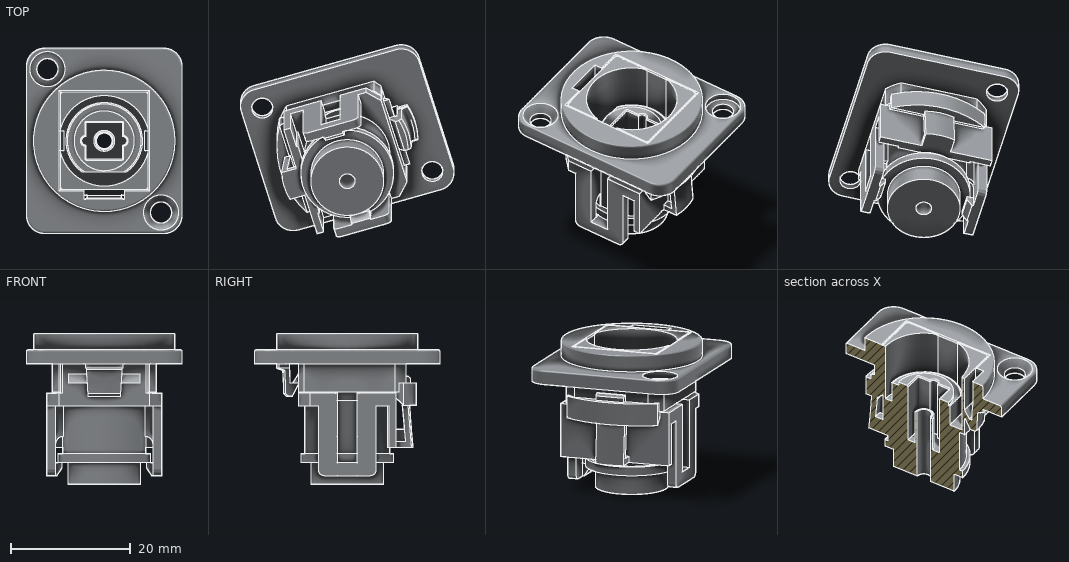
import cadquery as cq


PLATE_X, PLATE_Y = 26.0, 31
PLATE_THICK = 2.4
PLATE_CORNER_RADIUS = 3.1
PLATE_EDGE_FILLET = 0.35
DISC_RADIUS = 11.8
DISC_TOP = 5.1
DISC_EDGE_FILLET = 0.25
SCREW_X, SCREW_Y = 9.5, 11.97
SCREW_DIAMETER = 3.5
SCREW_HEAD_DIAMETER = 5.85
SCREW_HEAD_DEPTH = (SCREW_HEAD_DIAMETER - SCREW_DIAMETER) / 2

INSERT_X = 7.32
INSERT_Y = 8.15
INSERT_CORNER = 0.35
SEAM_WIDTH = 0.22
FRAME_X = 8.7
FRAME_BACK = 9.83
FRAME_FRONT_CORNER_X = 7.55
FRAME_FRONT_CORNER_Y = 7.25
FRAME_BOTTOM = -4.68
RELEASE_SLOT_X = 3.38
RELEASE_SLOT_FRONT = 9.73

FLANGE_X = 9.65
FLANGE_TOP = -4.87
FLANGE_BOTTOM = -7.05
FLANGE_CORNER_X, FLANGE_CORNER_Y = 2.1, 1.95

BARREL_RADIUS = 7.13
COLLAR_RADIUS = 7.75
COLLAR_TOP, COLLAR_BOTTOM = -14.97, -16.45
TAIL_RADIUS = 12.15 / 2
TAIL_BOTTOM = -20.1

BORE_RADIUS = 7.55
BORE_FLOOR = -6.15
ISLAND_RADIUS = 6.4
ISLAND_FLAT_Y = -5.25
ISLAND_TOP = -2.1
ISLAND_TOP_RADIUS = 12.3 / 2
ISLAND_CHAMFER_HEIGHT = 0.12
BOSS_RADIUS = 10.0 / 2
BOSS_TOP = -1.43
SOCKET_SIDE = 6.15
SOCKET_CORNER_RADIUS = 0.15
SOCKET_CHAMFER = 0.2
SOCKET_FLOOR = -13.02
KEY_RADIUS = 0.75
KEY_OFFSET = 3.05
FERRULE_DIAMETER = 3.5
FERRULE_BORE = 2.6
FERRULE_TOP = -6.2
FERRULE_CHAMFER = 0.25

LEG_INNER_X = 8.12
LEG_HALF_WIDTH = 4.8
LEG_BOTTOM = -18.65
LEG_CORNER_RADIUS = 1.0
LEG_SLOT_HALF_WIDTH = 1.65
LEG_SLOT_INNER_X = 6.75
WEB_HALF_WIDTH = 2.2
WEB_BOTTOM = -13.42
WEB_INNER_X = 5.58
WEB_ARC_RADIUS = LEG_INNER_X - LEG_SLOT_INNER_X
HOOK_INNER_X = 7.05
HOOK_TIP_X = 7.9
HOOK_SLOPE_TOP = -17.33

BACK_PLATE_THICK = 1.15
BACK_PLATE_BOTTOM = -13.98
BACK_PAD_X, BACK_PAD_THICK = 6.2, 0.28
LEVER_X = 2.48
GUSSET_X = LEVER_X / 2
LEVER_THICK = 1.27
LEVER_TOP_RADIUS, LEVER_BOTTOM_RADIUS = 10.45, 11.0
LEVER_FOOT_TOP = -12.93
GUSSET_TOP = -10.88
LATCH_HEAD_TOP, LATCH_HEAD_BOTTOM = -3.15, -6.9
LATCH_HEAD_X = 8.05
LATCH_HEAD_INNER_Y, LATCH_HEAD_OUTER_Y = 9.4, 11.55
LATCH_CATCH_INNER_Y = 8.6
LATCH_SLOPE_TOP = -5.7
LUG_TOP = -2.0
LUG_OUTER_Y = 10.57
LUG_CHAMFER = 0.4

CATCH_X = 5.98
CATCH_DEPTH = 0.95
CATCH_TOP, CATCH_BOTTOM = -1.65, -3.15
CLIP_INNER_Y = 9.65
CLIP_HOOK_INNER_Y = 9.52
CLIP_TIP_INNER_Y = 9.18
CLIP_NOSE_BOTTOM = -3.45
CLIP_BOTTOM = -5.42
CLIP_TOP_HALF_WIDTH, CLIP_SHOULDER_HALF_WIDTH, CLIP_TIP_HALF_WIDTH = 3.13, 3.0, 2.7
CLIP_LIP_BOTTOM = -0.7
CLIP_NECK_START = (11.3, -0.93)
CLIP_NECK_MIDDLE = (10.95, -1.05)
CLIP_NECK_END = (10.8, -1.43)
CLIP_TIP_CHAMFER_START = (10.65, -4.93)
CLIP_TIP_RADIUS = 10.17


def box(x0, x1, y0, y1, z0, z1):
    """Box given by its limits along each axis."""
    return cq.Workplane("XY").box(x1 - x0, y1 - y0, z1 - z0, centered=False).translate((x0, y0, z0))


def cylinder(radius, z0, z1, x=0, y=0):
    """Upright cylinder between two heights."""
    return cq.Workplane("XY", origin=(x, y, z0)).circle(radius).extrude(z1 - z0)


def side_profile(points, half_width):
    """Extrude a (y, z) outline symmetrically along X."""
    return cq.Workplane("YZ").polyline(points).close().extrude(half_width, both=True)


def front_profile(points, half_width):
    """Extrude an (x, z) outline symmetrically along Y."""
    return cq.Workplane("XZ").polyline(points).close().extrude(half_width, both=True)


def revolve_profile(points):
    """Revolve a (radius, z) outline about the socket axis."""
    return cq.Workplane("XZ").polyline(points).close().revolve(360, (0, 0), (0, 1))


def both_sides(body):
    """The body together with its mirror image across X = 0."""
    return body.union(body.mirror("YZ"))


def make_plate():
    plate = (
        cq.Workplane("XY")
        .rect(PLATE_X, PLATE_Y)
        .extrude(PLATE_THICK)
        .edges("|Z")
        .fillet(PLATE_CORNER_RADIUS)
        .faces(">Z")
        .edges()
        .fillet(PLATE_EDGE_FILLET)
    )
    disc = cylinder(DISC_RADIUS, 0, DISC_TOP).faces(">Z").edges().fillet(DISC_EDGE_FILLET)
    return plate.union(disc)


def cut_screw_holes(body):
    """One counterbored and one countersunk hole at opposite corners."""
    counterbored = cq.Workplane("XY", origin=(-SCREW_X, SCREW_Y, PLATE_THICK))
    body = body.cut(counterbored.circle(SCREW_HEAD_DIAMETER / 2).extrude(-SCREW_HEAD_DEPTH))
    body = body.cut(cylinder(SCREW_DIAMETER / 2, 0, PLATE_THICK, -SCREW_X, SCREW_Y))
    countersunk = cq.Workplane("XY", origin=(SCREW_X, -SCREW_Y, PLATE_THICK))
    cone = countersunk.circle(SCREW_HEAD_DIAMETER / 2).extrude(-SCREW_HEAD_DEPTH, taper=45)
    body = body.cut(cone)
    return body.cut(cylinder(SCREW_DIAMETER / 2, 0, PLATE_THICK, SCREW_X, -SCREW_Y))


def make_frame():
    """U-shaped wall below the plate, rounded off at the back to the disc outline."""
    outline = [
        (-INSERT_X, -INSERT_Y),
        (-FRAME_FRONT_CORNER_X, -INSERT_Y),
        (-FRAME_X, -FRAME_FRONT_CORNER_Y),
        (-FRAME_X, FRAME_BACK),
        (FRAME_X, FRAME_BACK),
        (FRAME_X, -FRAME_FRONT_CORNER_Y),
        (FRAME_FRONT_CORNER_X, -INSERT_Y),
        (INSERT_X, -INSERT_Y),
        (INSERT_X, INSERT_Y),
        (-INSERT_X, INSERT_Y),
    ]
    walls = cq.Workplane("XY").polyline(outline).close().extrude(FRAME_BOTTOM)
    return walls.intersect(cylinder(DISC_RADIUS, FRAME_BOTTOM, 0))


def make_insert():
    """Insert block with its bottom flange and the front catch."""
    block = box(-INSERT_X, INSERT_X, -INSERT_Y, INSERT_Y, FLANGE_BOTTOM, DISC_TOP)
    block = block.edges("|Z").chamfer(INSERT_CORNER)
    front_corner_x = FLANGE_X - FLANGE_CORNER_X
    front_corner_y = -INSERT_Y + FLANGE_CORNER_Y
    flange_outline = [
        (-front_corner_x, -INSERT_Y),
        (front_corner_x, -INSERT_Y),
        (FLANGE_X, front_corner_y),
        (FLANGE_X, INSERT_Y),
        (-FLANGE_X, INSERT_Y),
        (-FLANGE_X, front_corner_y),
    ]
    flange = (
        cq.Workplane("XY", origin=(0, 0, FLANGE_BOTTOM))
        .polyline(flange_outline)
        .close()
        .extrude(FLANGE_TOP - FLANGE_BOTTOM)
    )
    catch_outline = [
        (-INSERT_Y, CATCH_TOP),
        (-INSERT_Y - CATCH_DEPTH, CATCH_BOTTOM),
        (-INSERT_Y, CATCH_BOTTOM),
    ]
    catch = side_profile(catch_outline, CATCH_X)
    return block.union(flange).union(catch)


def cut_seam(body):
    """Sloped groove in the disc along the outline of the insert."""
    bottom = DISC_TOP - SEAM_WIDTH
    sloped = (
        cq.Workplane("XY", origin=(0, 0, DISC_TOP))
        .rect(2 * (INSERT_X + SEAM_WIDTH), 2 * (INSERT_Y + SEAM_WIDTH))
        .extrude(-SEAM_WIDTH, taper=45)
    )
    core = box(-INSERT_X, INSERT_X, -INSERT_Y, INSERT_Y, bottom, DISC_TOP)
    return body.cut(sloped.cut(core.edges("|Z").chamfer(INSERT_CORNER)))


def make_barrel():
    barrel = cylinder(BARREL_RADIUS, COLLAR_TOP, FLANGE_BOTTOM)
    collar = cylinder(COLLAR_RADIUS, COLLAR_BOTTOM, COLLAR_TOP)
    tail = cylinder(TAIL_RADIUS, TAIL_BOTTOM, COLLAR_BOTTOM)
    return barrel.union(collar).union(tail)


def make_legs():
    """Side legs joined to the barrel by webs, without their slots."""
    leg = box(
        LEG_INNER_X, FLANGE_X, -LEG_HALF_WIDTH, LEG_HALF_WIDTH, LEG_BOTTOM, FLANGE_BOTTOM
    )
    leg = leg.edges("|X and <Z").fillet(LEG_CORNER_RADIUS)
    web = box(
        WEB_INNER_X, LEG_INNER_X, -WEB_HALF_WIDTH, WEB_HALF_WIDTH, WEB_BOTTOM, FLANGE_BOTTOM
    )
    arch = (
        cq.Workplane("XZ")
        .center(LEG_SLOT_INNER_X, WEB_BOTTOM)
        .circle(WEB_ARC_RADIUS)
        .extrude(WEB_HALF_WIDTH, both=True)
    )
    return both_sides(leg.union(web.cut(arch)))


def cut_leg_slots(body):
    """Slots through flange, webs and legs that leave flats on the barrel."""
    width = LEG_SLOT_HALF_WIDTH
    upper = box(LEG_SLOT_INNER_X, FLANGE_X, -width, width, COLLAR_TOP, FLANGE_TOP)
    lower = box(LEG_INNER_X, FLANGE_X, -width, width, COLLAR_BOTTOM, COLLAR_TOP)
    return body.cut(both_sides(upper.union(lower)))


def make_hooks():
    outline = [
        (LEG_INNER_X, COLLAR_BOTTOM),
        (HOOK_INNER_X, COLLAR_BOTTOM),
        (HOOK_INNER_X, HOOK_SLOPE_TOP),
        (HOOK_TIP_X, LEG_BOTTOM),
        (LEG_INNER_X, LEG_BOTTOM),
    ]
    return both_sides(front_profile(outline, LEG_SLOT_HALF_WIDTH))


def make_back_plate():
    inner = INSERT_Y - BACK_PLATE_THICK
    plate = box(-FLANGE_X, FLANGE_X, inner, INSERT_Y, BACK_PLATE_BOTTOM, FLANGE_BOTTOM)
    pad = box(
        -BACK_PAD_X, BACK_PAD_X, inner - BACK_PAD_THICK, inner, BACK_PLATE_BOTTOM, FLANGE_BOTTOM
    )
    return plate.union(pad)


def make_lever():
    """Leaning lever on a foot, its outer face a cone about the socket axis."""
    outline = [
        (INSERT_Y, BACK_PLATE_BOTTOM),
        (LEVER_BOTTOM_RADIUS, BACK_PLATE_BOTTOM),
        (LEVER_TOP_RADIUS, LATCH_HEAD_BOTTOM),
        (LEVER_TOP_RADIUS - LEVER_THICK, LATCH_HEAD_BOTTOM),
        (LEVER_BOTTOM_RADIUS - LEVER_THICK, LEVER_FOOT_TOP),
        (INSERT_Y, LEVER_FOOT_TOP),
    ]
    cone = revolve_profile(
        [
            (0, BACK_PLATE_BOTTOM),
            (LEVER_BOTTOM_RADIUS, BACK_PLATE_BOTTOM),
            (LEVER_TOP_RADIUS, LATCH_HEAD_BOTTOM),
            (0, LATCH_HEAD_BOTTOM),
        ]
    )
    lever = side_profile(outline, LEVER_X).intersect(cone)
    gusset_y = LEVER_BOTTOM_RADIUS - LEVER_THICK
    gusset = box(-GUSSET_X, GUSSET_X, INSERT_Y, gusset_y, LEVER_FOOT_TOP, GUSSET_TOP)
    return lever.union(gusset)


def make_latch_head():
    """Bowed grip on top of the lever, with a sloped catch on its inner side."""
    head = (
        cq.Workplane("XY", origin=(0, 0, LATCH_HEAD_BOTTOM))
        .moveTo(-LATCH_HEAD_X, LATCH_HEAD_INNER_Y)
        .threePointArc((0, LATCH_HEAD_OUTER_Y), (LATCH_HEAD_X, LATCH_HEAD_INNER_Y))
        .close()
        .extrude(LATCH_HEAD_TOP - LATCH_HEAD_BOTTOM)
    )
    catch_outline = [
        (LATCH_HEAD_INNER_Y, LATCH_HEAD_TOP),
        (LATCH_CATCH_INNER_Y, LATCH_HEAD_TOP),
        (LATCH_CATCH_INNER_Y, FRAME_BOTTOM),
        (INSERT_Y, FRAME_BOTTOM),
        (INSERT_Y, LATCH_SLOPE_TOP),
        (LATCH_HEAD_INNER_Y, LATCH_HEAD_BOTTOM),
    ]
    return head.union(side_profile(catch_outline, LATCH_HEAD_X))


def make_lug():
    """Small stop behind the frame, just above the latch head."""
    outline = [
        (INSERT_Y, LATCH_HEAD_TOP),
        (LUG_OUTER_Y, LATCH_HEAD_TOP),
        (LUG_OUTER_Y, LUG_TOP - LUG_CHAMFER),
        (LUG_OUTER_Y - LUG_CHAMFER, LUG_TOP),
        (INSERT_Y, LUG_TOP),
    ]
    return side_profile(outline, LEVER_X)


def make_front_clip():
    """Tapered clip below the disc rim that hooks under the insert's front catch."""
    outer = (
        cq.Workplane("XZ")
        .lineTo(DISC_RADIUS, 0)
        .lineTo(DISC_RADIUS, CLIP_LIP_BOTTOM)
        .lineTo(*CLIP_NECK_START)
        .threePointArc(CLIP_NECK_MIDDLE, CLIP_NECK_END)
        .lineTo(*CLIP_TIP_CHAMFER_START)
        .lineTo(CLIP_TIP_RADIUS, CLIP_BOTTOM)
        .lineTo(0, CLIP_BOTTOM)
        .close()
        .revolve(360, (0, 0), (0, 1))
    )
    inner_outline = [
        (-DISC_RADIUS, 0),
        (-CLIP_INNER_Y, 0),
        (-CLIP_HOOK_INNER_Y, CATCH_BOTTOM),
        (-INSERT_Y, CATCH_BOTTOM),
        (-INSERT_Y, CLIP_NOSE_BOTTOM),
        (-CLIP_TIP_INNER_Y, CLIP_BOTTOM),
        (-DISC_RADIUS, CLIP_BOTTOM),
    ]
    right_edge = [
        (CLIP_TOP_HALF_WIDTH, 0),
        (CLIP_TOP_HALF_WIDTH, CLIP_LIP_BOTTOM),
        (CLIP_SHOULDER_HALF_WIDTH, CLIP_LIP_BOTTOM),
        (CLIP_TIP_HALF_WIDTH, CLIP_BOTTOM),
    ]
    left_edge = [(-x, z) for x, z in reversed(right_edge)]
    hook = side_profile(inner_outline, CLIP_TOP_HALF_WIDTH)
    return outer.intersect(hook).intersect(front_profile(right_edge + left_edge, DISC_RADIUS))


def cut_bore(body):
    """Flat-sided bore around the raised island and boss of the socket."""
    bore = cylinder(BORE_RADIUS, BORE_FLOOR, DISC_TOP)
    bore = bore.intersect(
        box(-INSERT_X, INSERT_X, -BORE_RADIUS, BORE_RADIUS, BORE_FLOOR, DISC_TOP)
    )
    island = cylinder(ISLAND_RADIUS, BORE_FLOOR, ISLAND_TOP).cut(
        box(-ISLAND_RADIUS, ISLAND_RADIUS, -ISLAND_RADIUS, ISLAND_FLAT_Y, BORE_FLOOR, ISLAND_TOP)
    )
    chamfer_width = ISLAND_RADIUS - ISLAND_TOP_RADIUS
    island = island.faces(">Z").edges("%CIRCLE").chamfer(ISLAND_CHAMFER_HEIGHT, chamfer_width)
    return body.cut(bore.cut(island).cut(cylinder(BOSS_RADIUS, ISLAND_TOP, BOSS_TOP)))


def socket_prism(margin, z0, z1):
    """Keyed square outline, grown by a margin, between two heights."""
    side = SOCKET_SIDE + 2 * margin
    prism = cq.Workplane("XY", origin=(0, 0, z0)).rect(side, side).extrude(z1 - z0)
    prism = prism.edges("|Z").fillet(SOCKET_CORNER_RADIUS + margin)
    for x in (-KEY_OFFSET, KEY_OFFSET):
        prism = prism.union(cylinder(KEY_RADIUS + margin, z0, z1, x))
    return prism


def cut_socket(body):
    """Keyed square socket with a central ferrule and a hole through the tail."""
    cavity = socket_prism(0, SOCKET_FLOOR, BOSS_TOP)
    mouth = socket_prism(SOCKET_CHAMFER, BOSS_TOP - SOCKET_CHAMFER, BOSS_TOP + SOCKET_CHAMFER)
    mouth = mouth.faces("<Z").edges().chamfer(SOCKET_CHAMFER)
    ferrule = cylinder(FERRULE_DIAMETER / 2, SOCKET_FLOOR, FERRULE_TOP)
    ferrule = ferrule.faces(">Z").edges().chamfer(FERRULE_CHAMFER)
    body = body.cut(cavity.cut(ferrule)).cut(mouth)
    return body.cut(cylinder(FERRULE_BORE / 2, TAIL_BOTTOM, FERRULE_TOP))


body = make_plate().union(make_frame())
body = cut_screw_holes(body)
body = cut_seam(body)
body = body.cut(
    box(-RELEASE_SLOT_X, RELEASE_SLOT_X, -RELEASE_SLOT_FRONT, -INSERT_Y, 0, DISC_TOP)
)
for make_part in (make_insert, make_barrel, make_legs, make_back_plate):
    body = body.union(make_part())
body = cut_leg_slots(body)
for make_part in (make_hooks, make_lever, make_latch_head, make_lug, make_front_clip):
    body = body.union(make_part())
body = cut_bore(body)
result = cut_socket(body)